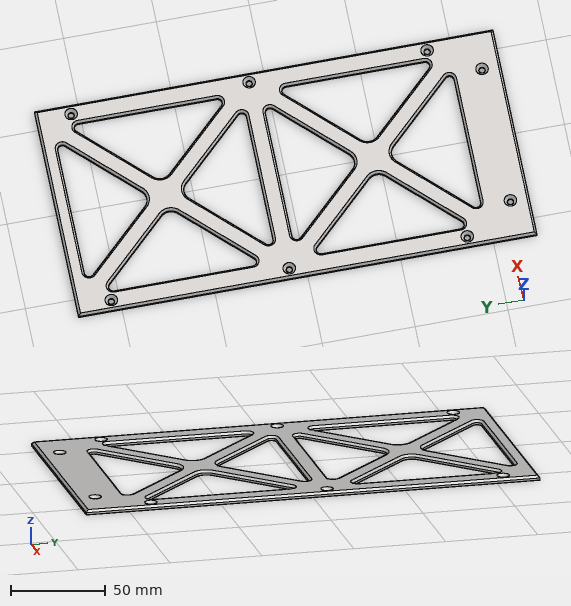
import cadquery as cq
import math

WIDTH = 121.03
LENGTH = 246.81
THICKNESS = 2.54
EDGE_CHAMFER = 1.27

STRUT_WIDTH = 7.62
BAY_WIDTH = 101.5
BAY_HEIGHT = 104.14
END_MARGIN = 6.55
HUB_RADIUS = 7.62
CORNER_RADIUS = 3.81

BAY_PITCH = BAY_HEIGHT + STRUT_WIDTH
UPPER_BAY_Y = LENGTH / 2 - END_MARGIN - BAY_HEIGHT / 2
BAY_CENTERS_Y = (UPPER_BAY_Y, UPPER_BAY_Y - BAY_PITCH)

HOLE_DIAMETER = 3.26
COUNTERSINK_DIAMETER = 6.6
COUNTERSINK_ANGLE = 90
SIDE_HOLE_X = 55.0
SIDE_HOLE_PITCH = 95.8
SIDE_HOLE_MIDDLE_Y = 8.9
END_HOLE_X = 38.9
END_HOLE_Y = -113.3


def make_plate():
    """Flat plate with its upper outer edges chamfered; the underside is at Z = 0."""
    plate = cq.Workplane("XY").box(WIDTH, LENGTH, THICKNESS, centered=(True, True, False))
    return plate.faces(">Z").edges().chamfer(EDGE_CHAMFER)


def make_window_cutter(base_distance, half_reach):
    """Rounded triangle with its apex toward the strut crossing at the origin.

    The base lies at X = base_distance. half_reach is half the bay size along Y.
    The cutter is full size at the top face and narrows through a 45 degree
    chamfer to a straight-sided opening below.
    """
    half_diagonal = math.hypot(base_distance, half_reach)
    apex = STRUT_WIDTH / 2 * half_diagonal / half_reach
    half_base = (base_distance - apex) * half_reach / base_distance
    corners = [(apex, 0), (base_distance, -half_base), (base_distance, half_base)]

    triangle = cq.Workplane("XY").polyline(corners).close().extrude(THICKNESS)
    triangle = triangle.edges("|Z").edges("<X").fillet(HUB_RADIUS)
    triangle = triangle.edges("|Z").edges(">X").fillet(CORNER_RADIUS)

    rim = triangle.faces(">Z").wires()
    opening = rim.toPending().offset2D(-EDGE_CHAMFER).extrude(-THICKNESS, combine=False)
    rim = triangle.faces(">Z").wires()
    flare = rim.toPending().extrude(-EDGE_CHAMFER, combine=False, taper=45)
    return opening.union(flare)


def cut_windows(plate):
    """Four windows around the strut crossing of each bay."""
    side_window = make_window_cutter(BAY_WIDTH / 2, BAY_HEIGHT / 2)
    end_window = make_window_cutter(BAY_HEIGHT / 2, BAY_WIDTH / 2)
    placements = [(0, side_window), (90, end_window), (180, side_window), (270, end_window)]
    for center_y in BAY_CENTERS_Y:
        for angle, window in placements:
            turned = window.rotate((0, 0, 0), (0, 0, 1), angle)
            plate = plate.cut(turned.translate((0, center_y, 0)))
    return plate


def drill_holes(plate):
    """Three countersunk holes along each long side and two near the -Y end."""
    centers = []
    for side in (-1, 1):
        centers.append((side * END_HOLE_X, END_HOLE_Y))
        for step in (-1, 0, 1):
            centers.append((side * SIDE_HOLE_X, SIDE_HOLE_MIDDLE_Y + step * SIDE_HOLE_PITCH))
    top_face = plate.faces(">Z").workplane(origin=(0, 0, THICKNESS))
    return top_face.pushPoints(centers).cskHole(
        HOLE_DIAMETER, COUNTERSINK_DIAMETER, COUNTERSINK_ANGLE
    )


result = drill_holes(cut_windows(make_plate()))